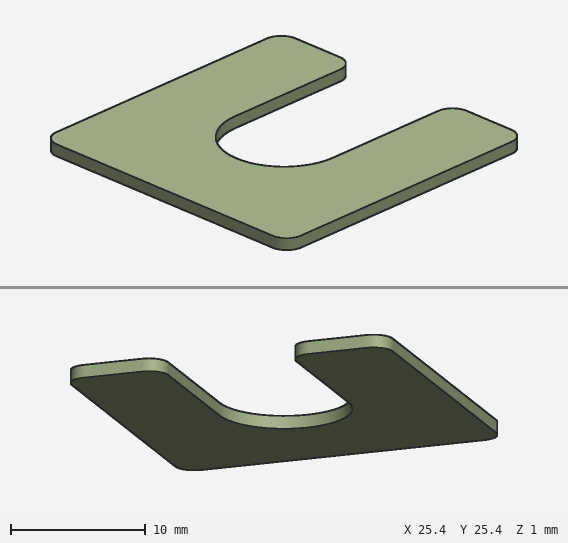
import cadquery as cq

side = 25.4
thickness = 1.0
leg_width = 7.62
corner_radius = 1.5

slot_width = side - 2 * leg_width
slot_radius = slot_width / 2
half_side = side / 2


def square_plate():
    """Square shim plate centred on the Z axis, resting on Z = 0."""
    return cq.Workplane("XY").rect(side, side).extrude(thickness)


def open_slot():
    """Round-ended through slot that opens on the +Y edge."""
    return (
        cq.Workplane("XY")
        .moveTo(-slot_radius, half_side)
        .lineTo(-slot_radius, 0)
        .threePointArc((0, -slot_radius), (slot_radius, 0))
        .lineTo(slot_radius, half_side)
        .close()
        .extrude(thickness)
    )


def round_corners(plate):
    """Round the plate corners and leg tips, all on the +Y and -Y edges."""
    corner_edges = plate.faces("<Y or >Y").edges("|Z")
    return corner_edges.fillet(corner_radius)


result = round_corners(square_plate().cut(open_slot()))